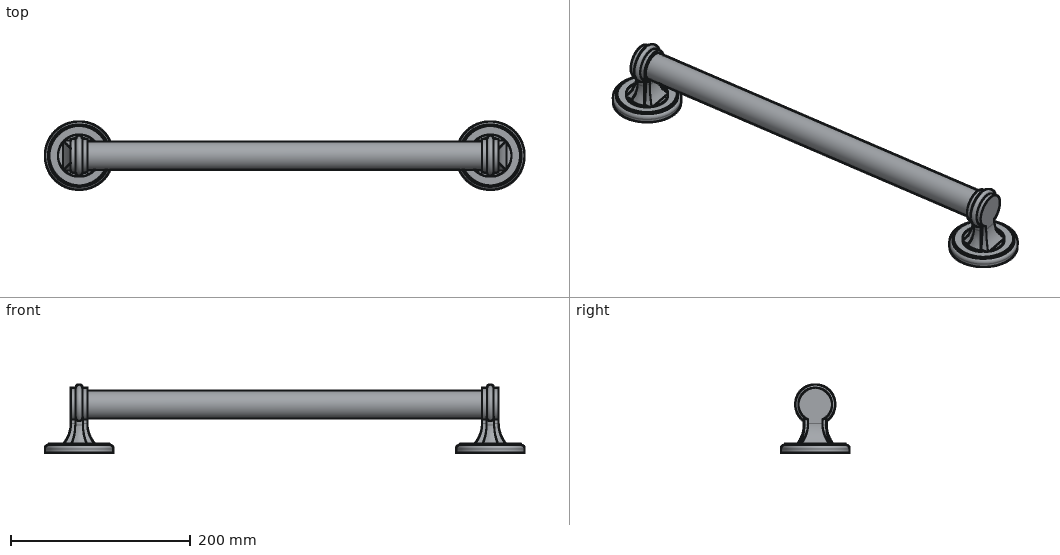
import cadquery as cq
import math

LENGTH = 533.5
FLANGE_DIAMETER = 76.5
HEIGHT = 76.5
POST_X = (LENGTH - FLANGE_DIAMETER) / 2

FLANGE_RADIUS = FLANGE_DIAMETER / 2
FLANGE_WALL = 4.5
SHOULDER_RADIUS = 34.5
SHOULDER_Z = 9.0
TOP_RADIUS = 33.0
FLANGE_TOP = 10.5
RECESS_RADIUS = 23.5
RECESS_DEPTH = 1.0

DISC_RADIUS = 18.5
DISC_WIDTH = 18.5
BEAD_RADIUS = 4.0
AXIS_Z = HEIGHT - DISC_RADIUS - BEAD_RADIUS
BAR_DIAMETER = 31.5

CORE_FLARE_TOP = 32.5
FLARE_RADIUS = 34.5
CORE_HALF_DEPTH = 8.0
RIB_HALF_WIDTH = 4.5
RIB_FLARE_TOP = 31.0
RIB_SIDE_FLARE_RADIUS = 53.5
RIB_REACH = 13.0
STEM_BOTTOM = FLANGE_TOP - RECESS_DEPTH


def flare_offset(radius, drop):
    """Sideways growth of a flare arc that starts vertical, after falling by drop."""
    return radius - math.sqrt(radius**2 - drop**2)


def flared_outline(plane, half_top, flare_top, flare_radius):
    """Right half of a stem outline, closed along the post axis."""
    drop = flare_top - STEM_BOTTOM
    half_middle = half_top + flare_offset(flare_radius, drop / 2)
    half_bottom = half_top + flare_offset(flare_radius, drop)
    return (
        cq.Workplane(plane)
        .moveTo(0, AXIS_Z)
        .lineTo(half_top, AXIS_Z)
        .lineTo(half_top, flare_top)
        .threePointArc((half_middle, flare_top - drop / 2), (half_bottom, STEM_BOTTOM))
        .lineTo(0, STEM_BOTTOM)
        .close()
    )


def flared_slab(plane, half_top, flare_top, flare_radius):
    """Slab with the flared outline on both sides, wide enough to span the flange."""
    half = flared_outline(plane, half_top, flare_top, flare_radius).extrude(FLANGE_RADIUS, both=True)
    return half.union(half.rotate((0, 0, 0), (0, 0, 1), 180))


def make_flange():
    rise = SHOULDER_Z - FLANGE_WALL
    run = FLANGE_RADIUS - SHOULDER_RADIUS
    bulge = math.sin(math.radians(45))
    shoulder_middle = (SHOULDER_RADIUS + run * bulge, FLANGE_WALL + rise * bulge)
    plate = (
        cq.Workplane("XZ")
        .lineTo(FLANGE_RADIUS, 0)
        .lineTo(FLANGE_RADIUS, FLANGE_WALL)
        .threePointArc(shoulder_middle, (SHOULDER_RADIUS, SHOULDER_Z))
        .lineTo(TOP_RADIUS, FLANGE_TOP)
        .lineTo(0, FLANGE_TOP)
        .close()
        .revolve(360, (0, 0, 0), (0, 1, 0))
    )
    seat = cq.Workplane("XY").workplane(offset=STEM_BOTTOM).circle(RECESS_RADIUS).extrude(RECESS_DEPTH)
    return plate.cut(seat)


def make_stem():
    core_across_x = flared_slab("XZ", DISC_WIDTH / 2, CORE_FLARE_TOP, FLARE_RADIUS)
    core_across_y = flared_slab("YZ", CORE_HALF_DEPTH, CORE_FLARE_TOP, FLARE_RADIUS)
    core = core_across_x.intersect(core_across_y)
    rib_outline = flared_outline("XZ", RIB_REACH, RIB_FLARE_TOP, FLARE_RADIUS)
    round_stem = rib_outline.revolve(360, (0, 0, 0), (0, 1, 0))
    rib_band = flared_slab("XZ", RIB_HALF_WIDTH, RIB_FLARE_TOP, RIB_SIDE_FLARE_RADIUS)
    return core.union(round_stem.intersect(rib_band))


def make_head():
    head_axis = cq.Workplane("YZ").center(0, AXIS_Z)
    disc = head_axis.circle(DISC_RADIUS).extrude(DISC_WIDTH / 2, both=True)
    bead = (
        cq.Workplane("XZ")
        .moveTo(-BEAD_RADIUS, AXIS_Z + DISC_RADIUS)
        .threePointArc((0, HEIGHT), (BEAD_RADIUS, AXIS_Z + DISC_RADIUS))
        .lineTo(BEAD_RADIUS, AXIS_Z)
        .lineTo(-BEAD_RADIUS, AXIS_Z)
        .close()
        .revolve(360, (0, AXIS_Z, 0), (1, AXIS_Z, 0))
    )
    return disc.union(bead)


post = make_flange().union(make_stem()).union(make_head())
bar = cq.Workplane("YZ").center(0, AXIS_Z).circle(BAR_DIAMETER / 2).extrude(POST_X, both=True)

result = bar
for x in (-POST_X, POST_X):
    result = result.union(post.translate((x, 0, 0)))